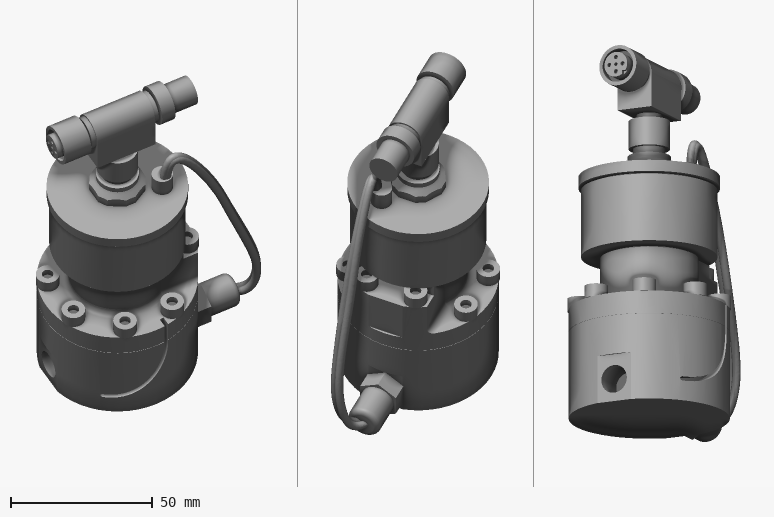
import cadquery as cq
import math

BODY_R = 28.47
FLANGE_SEAM_Z = 31.0
FLANGE_TOP = 39.4
SEAM_DEPTH = 0.1
SEAM_HEIGHT = 0.1

NECK_R = 17.3
NECK_TOP = 58.1
ROOT_FILLET = 2.5
CLAMP_HALF_WIDTH = 14.6
CLAMP_SEAT_Z = 53.5
CLAMP_SEAT_Y = 18.5

CAP_R = 24.1
CAP_BOTTOM = 58.8
CAP_TOP = 83.0
CAP_UNDERCUT_R = 31.7 / 2
LID_R = 25.0
LID_BOTTOM = 83.8
LID_TOP = 87.8
LID_UNDERCUT_R = 44.2 / 2

SCREW_CIRCLE_R = 24.8
SCREW_COUNT = 8
SCREW_HEAD_R = 4.2
SCREW_HEAD_H = 4.7
SOCKET_R = 2.02
SOCKET_DEPTH = 2.6

PORT_Z = 8.1
PORT_R = 10.0 / 2
PORT_DEPTH = 11.7
FLAT_HALF_WIDTH = 6.6
FLAT_Y = math.sqrt(BODY_R**2 - FLAT_HALF_WIDTH**2)
PORT_FLAT_H = 17.1
REAR_FLAT_BOTTOM = 37.3

SLOT_WIDTH = 1.5
SLOT_DEPTH = 3.5
SLOT_ARC_R = 22.2
SLOT_Y = 4.3
SLOT_Z = 8.0

GLAND_HEX_DIAMETER = 16.0
GLAND_HEX_END = 34.0
GLAND_R = 12.4 / 2
GLAND_END = 46.8
GLAND_FILLET = 2.0

OUTLET_X = 8.0
OUTLET_Y = 13.7
OUTLET_R = 7.5 / 2
OUTLET_TOP = 94.7
WIRE_R = 1.5

NUT_APOTHEM_X = 9.9
NUT_APOTHEM_Y = 9.5
NUT_EDGE_Z = 91.1
NUT_TOP = 93.2
COLLAR_R = 15.2 / 2
COLLAR_TOP = 95.2
STEM_R = 11.6 / 2
STEM_TOP = 98.0
COUPLING_R = 14.6 / 2
COUPLING_TOP = 108.1
CORE_R = 9.0 / 2

TEE_BOTTOM = 110.4
TEE_Z = 123.0
TEE_R = 6.6
TEE_HALF_LENGTH = 11.6
SHOULDER_R = 12.0 / 2
SHOULDER_END = 13.4
RING_START = 14.1
MALE_RING_END = 19.4
MALE_TUBE_R = 11.0 / 2
MALE_TUBE_END = 29.5
FEMALE_START = 14.5
FEMALE_END = 24.8
FEMALE_BORE_R = 12.0 / 2
FEMALE_BORE_DEPTH = 3.9
INSERT_END = 26.3
PIN_R = 0.8
CENTRE_PIN_R = 0.7
PIN_CIRCLE_R = 2.6
PIN_DEPTH = 2.0
KEY_CORNER = 2.5
KEY_DEPTH = 1.3

OVERLAP = 0.7


def disc(radius, bottom, top):
    """Upright cylinder on the main axis."""
    return cq.Workplane("XY").workplane(offset=bottom).circle(radius).extrude(top - bottom)


def y_disc(radius, start, end, height):
    """Cylinder along Y at the given height."""
    axis = cq.Vector(0, 1, 0)
    return cq.Workplane(cq.Solid.makeCylinder(radius, end - start, cq.Vector(0, start, height), axis))


def block(x_range, y_range, z_range):
    """Box given by its limits along each axis."""
    size = [high - low for low, high in (x_range, y_range, z_range)]
    corner = (x_range[0], y_range[0], z_range[0])
    return cq.Workplane("XY").box(*size, centered=False).translate(corner)


def body():
    blank_reach = 2 * BODY_R
    outside = BODY_R + 1.3
    upper = disc(NECK_R, FLANGE_TOP - OVERLAP, NECK_TOP).union(
        block((-CLAMP_HALF_WIDTH, CLAMP_HALF_WIDTH), (0, outside + ROOT_FILLET),
              (FLANGE_TOP - OVERLAP, NECK_TOP)))
    blank = disc(blank_reach, 0, FLANGE_TOP).union(upper)
    root = cq.selectors.BoxSelector(
        (-NECK_R - 1.3, -NECK_R - 1.3, FLANGE_TOP - 0.1),
        (NECK_R + 1.3, blank_reach - 1.3, FLANGE_TOP + 0.1))
    blank = blank.edges(root).fillet(ROOT_FILLET)
    shape = blank.intersect(disc(BODY_R, 0, NECK_TOP))

    seam = disc(outside, FLANGE_SEAM_Z, FLANGE_SEAM_Z + SEAM_HEIGHT)
    shape = shape.cut(seam.cut(disc(BODY_R - SEAM_DEPTH, FLANGE_SEAM_Z, FLANGE_TOP)))

    shape = shape.cut(block((-outside, outside), (CLAMP_SEAT_Y, outside), (CLAMP_SEAT_Z, NECK_TOP)))
    shape = shape.cut(block((-outside, outside), (FLAT_Y, outside), (REAR_FLAT_BOTTOM, NECK_TOP)))
    for y_range in ((-outside, -FLAT_Y), (FLAT_Y, outside)):
        shape = shape.cut(block((-outside, outside), y_range, (0, PORT_FLAT_H)))
    return shape.cut(y_disc(PORT_R, -outside, PORT_DEPTH - FLAT_Y, PORT_Z))


def side_slot():
    """Narrow slot in the +X side: rises on an arc, then straight through the flange top."""
    half = SLOT_WIDTH / 2
    centre_y = SLOT_Y - SLOT_ARC_R
    centre_z = SLOT_Z + SLOT_ARC_R
    outer = SLOT_ARC_R + half
    inner = SLOT_ARC_R - half
    diagonal = math.sqrt(0.5)
    profile = (
        cq.Workplane("YZ")
        .moveTo(centre_y, centre_z - outer)
        .threePointArc((centre_y + outer * diagonal, centre_z - outer * diagonal),
                       (centre_y + outer, centre_z))
        .lineTo(centre_y + outer, FLANGE_TOP + 1.3)
        .lineTo(centre_y + inner, FLANGE_TOP + 1.3)
        .lineTo(centre_y + inner, centre_z)
        .threePointArc((centre_y + inner * diagonal, centre_z - inner * diagonal),
                       (centre_y, centre_z - inner))
        .threePointArc((centre_y - half, SLOT_Z), (centre_y, centre_z - outer))
        .close()
        .extrude(BODY_R + 1.3)
    )
    return profile.cut(disc(BODY_R - SLOT_DEPTH, 0, FLANGE_TOP + 1.3))


def screws():
    """Socket-head screws: six on the flange, the rear two on the clamp block."""
    heads = []
    for index in range(SCREW_COUNT):
        angle = math.radians((index + 0.5) * 360 / SCREW_COUNT)
        x = SCREW_CIRCLE_R * math.cos(angle)
        y = SCREW_CIRCLE_R * math.sin(angle)
        seat = CLAMP_SEAT_Z if y > CLAMP_SEAT_Y else FLANGE_TOP
        head = disc(SCREW_HEAD_R, seat, seat + SCREW_HEAD_H)
        top = seat + SCREW_HEAD_H
        heads.append(head.cut(disc(SOCKET_R, top - SOCKET_DEPTH, top)).translate((x, y, 0)))
    return heads


def cap():
    shape = disc(CAP_UNDERCUT_R, NECK_TOP - OVERLAP, CAP_BOTTOM + OVERLAP)
    shape = shape.union(disc(CAP_R, CAP_BOTTOM, CAP_TOP))
    shape = shape.union(disc(LID_UNDERCUT_R, CAP_TOP - OVERLAP, LID_BOTTOM + OVERLAP))
    shape = shape.union(disc(LID_R, LID_BOTTOM, LID_TOP))
    return shape.union(disc(OUTLET_R, LID_TOP - OVERLAP, OUTLET_TOP).translate((OUTLET_X, OUTLET_Y, 0)))


def gland():
    hexagon = (
        cq.Workplane("XZ")
        .center(0, PORT_Z)
        .transformed(rotate=(0, 0, 90))
        .polygon(6, GLAND_HEX_DIAMETER)
        .extrude(-(GLAND_HEX_END - FLAT_Y + OVERLAP))
        .translate((0, FLAT_Y - OVERLAP, 0))
    )
    barrel = y_disc(GLAND_R, GLAND_HEX_END - OVERLAP, GLAND_END, PORT_Z)
    barrel = barrel.faces(">Y").edges().fillet(GLAND_FILLET)
    return hexagon.union(barrel)


def wire(points):
    """Round wire along a smooth curve from the lid outlet down into the gland."""
    path = cq.Workplane("XY").spline(points)
    start = path.val().tangentAt(0)
    plane = cq.Plane(origin=points[0], normal=start)
    return cq.Workplane(plane).circle(WIRE_R).sweep(path, isFrenet=True)


WIRE_START_Z = OUTLET_TOP - OVERLAP
WIRE_END_Y = GLAND_END - OVERLAP
OUTER_WIRE = [
    (9.4, 13.5, WIRE_START_Z),
    (9.4, 17.0, 102.7),
    (8.6, 30.1, 87.5),
    (7.8, 40.3, 63.5),
    (7.5, 49.0, 39.2),
    (5.1, 52.8, 18.2),
    (2.1, 50.4, 9.9),
    (-0.7, WIRE_END_Y, PORT_Z),
]
INNER_WIRE = [
    (9.6, 14.6, WIRE_START_Z),
    (10.0, 17.1, 101.9),
    (9.9, 29.6, 87.3),
    (10.0, 39.5, 63.2),
    (9.5, 48.0, 39.1),
    (7.3, 51.6, 18.2),
    (4.7, 49.5, 11.0),
    (1.5, WIRE_END_Y, PORT_Z),
]


def mounting_nut():
    """Twelve-sided nut, two overlapped hexagons, with a coned top."""
    def hexagon(apothem, turn):
        prism = cq.Workplane("XY").polygon(6, 2 * apothem / math.cos(math.pi / 6))
        return prism.extrude(NUT_TOP).rotate((0, 0, 0), (0, 0, 1), turn)

    prism = hexagon(NUT_APOTHEM_X, 30).intersect(hexagon(NUT_APOTHEM_Y, 0))
    slope = (NUT_APOTHEM_X - COLLAR_R) / (NUT_TOP - NUT_EDGE_Z)
    base_r = COLLAR_R + slope * (NUT_TOP - LID_TOP + OVERLAP)
    cone = (
        cq.Workplane("XZ")
        .polyline([(0, LID_TOP - OVERLAP), (base_r, LID_TOP - OVERLAP), (COLLAR_R, NUT_TOP), (0, NUT_TOP)])
        .close()
        .revolve(360, (0, 0, 0), (0, 1, 0))
    )
    return prism.intersect(cone)


def stem():
    shape = mounting_nut().union(disc(COLLAR_R, NUT_TOP, COLLAR_TOP))
    shape = shape.union(disc(STEM_R, COLLAR_TOP - OVERLAP, STEM_TOP + OVERLAP))
    shape = shape.union(disc(COUPLING_R, STEM_TOP, COUPLING_TOP))
    return shape.union(disc(CORE_R, COUPLING_TOP - OVERLAP, TEE_BOTTOM + OVERLAP))


def tee():
    length = (-TEE_HALF_LENGTH, TEE_HALF_LENGTH)
    shape = block((-TEE_R, TEE_R), length, (TEE_BOTTOM, TEE_Z))
    shape = shape.union(y_disc(TEE_R, *length, TEE_Z))
    shape = shape.union(y_disc(SHOULDER_R, -SHOULDER_END, SHOULDER_END, TEE_Z))

    shape = shape.union(y_disc(CORE_R, 0, RING_START + OVERLAP, TEE_Z))
    shape = shape.union(y_disc(COUPLING_R, RING_START, MALE_RING_END, TEE_Z))
    shape = shape.union(y_disc(MALE_TUBE_R, RING_START, MALE_TUBE_END, TEE_Z))

    nut = y_disc(COUPLING_R, -FEMALE_END, -FEMALE_START, TEE_Z)
    nut = nut.cut(y_disc(FEMALE_BORE_R, -FEMALE_END, FEMALE_BORE_DEPTH - FEMALE_END, TEE_Z))
    return shape.union(nut).union(contact_insert())


def contact_insert():
    shape = y_disc(CORE_R, -INSERT_END, 0, TEE_Z)
    hole = y_disc(PIN_R, -INSERT_END, PIN_DEPTH - INSERT_END, TEE_Z)
    for dx, dz in ((1, 0), (0, 1), (-1, 0), (0, -1)):
        shape = shape.cut(hole.translate((PIN_CIRCLE_R * dx, 0, PIN_CIRCLE_R * dz)))
    shape = shape.cut(y_disc(CENTRE_PIN_R, -INSERT_END, PIN_DEPTH - INSERT_END, TEE_Z))
    key = block((KEY_CORNER, CORE_R), (-INSERT_END, KEY_DEPTH - INSERT_END),
                (TEE_Z - CORE_R, TEE_Z - KEY_CORNER))
    return shape.cut(key)


result = body().cut(side_slot())
for piece in [*screws(), cap(), gland(), stem(), tee(), wire(OUTER_WIRE).union(wire(INNER_WIRE))]:
    result = result.union(piece)